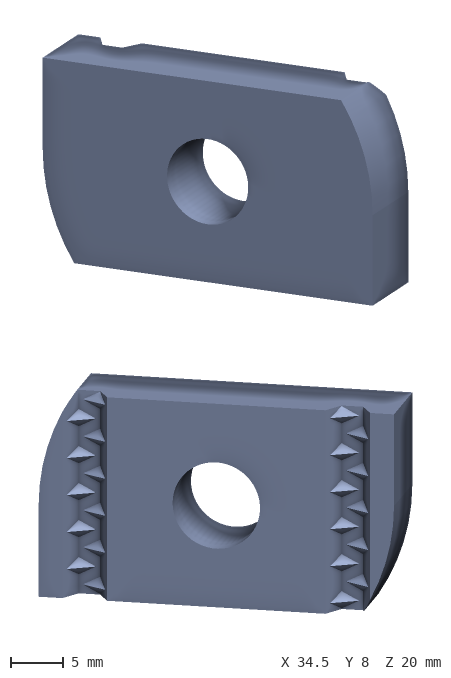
import cadquery as cq
import math

length = 34.5
height = 20.0
thickness = 8.0
hole_diameter = 8.5
corner_radius = height
arc_offset = 1.0

groove_offset = 12.75
groove_top_width = 4.35
groove_floor_width = 2.07
groove_depth = thickness / 4

tooth_count = 11
tooth_pitch = height / tooth_count
crest_angle = 30.0
crest_start_depth = 0.55

back = thickness / 2
half_length = length / 2
half_height = height / 2


def make_plate():
    """Plate with two opposite corners rounded by arcs tangent to the flat sides."""
    corner_x = half_length - corner_radius + math.sqrt(corner_radius**2 - (half_height + arc_offset)**2)
    return (
        cq.Workplane("XZ")
        .moveTo(-half_length, half_height)
        .lineTo(corner_x, half_height)
        .radiusArc((half_length, -arc_offset), corner_radius)
        .lineTo(half_length, -half_height)
        .lineTo(-corner_x, -half_height)
        .radiusArc((-half_length, arc_offset), corner_radius)
        .close()
        .extrude(back, both=True)
    )


def make_groove(center_x):
    """Trapezoidal groove volume over the full height."""
    half_top = groove_top_width / 2
    half_floor = groove_floor_width / 2
    return (
        cq.Workplane("XY")
        .polyline([
            (center_x - half_top, back),
            (center_x - half_floor, back - groove_depth),
            (center_x + half_floor, back - groove_depth),
            (center_x + half_top, back),
        ])
        .close()
        .extrude(half_height, both=True)
    )


def make_tooth(center_x, center_z, side):
    """V-shaped tooth whose crest falls away from the groove wall on the given side (-1 or 1)."""
    wall_run = (groove_top_width - groove_floor_width) / 2
    start_x = groove_top_width / 2 - wall_run * crest_start_depth / groove_depth
    angle = math.radians(crest_angle)
    crest_direction = (-side * math.cos(angle), -math.sin(angle), 0)
    inward = (-side * math.sin(angle), math.cos(angle), 0)
    origin = (center_x + side * start_x, back - crest_start_depth, center_z)
    half_pitch = tooth_pitch / 2
    profile = cq.Plane(origin=origin, xDir=inward, normal=crest_direction)
    return (
        cq.Workplane(profile)
        .polyline([(0, 0), (-half_pitch, half_pitch), (-half_pitch, -half_pitch)])
        .close()
        .extrude(groove_top_width, both=True)
    )


result = make_plate()
for groove_side in (-1, 1):
    groove_x = groove_side * groove_offset
    groove = make_groove(groove_x)
    for index in range(tooth_count):
        tooth_z = half_height - (index + 0.5) * tooth_pitch
        tooth_side = -groove_side * (-1) ** index
        groove = groove.cut(make_tooth(groove_x, tooth_z, tooth_side))
    result = result.cut(groove)

hole = cq.Workplane("XZ", origin=(0, back, 0)).circle(hole_diameter / 2).extrude(thickness)
result = result.cut(hole)